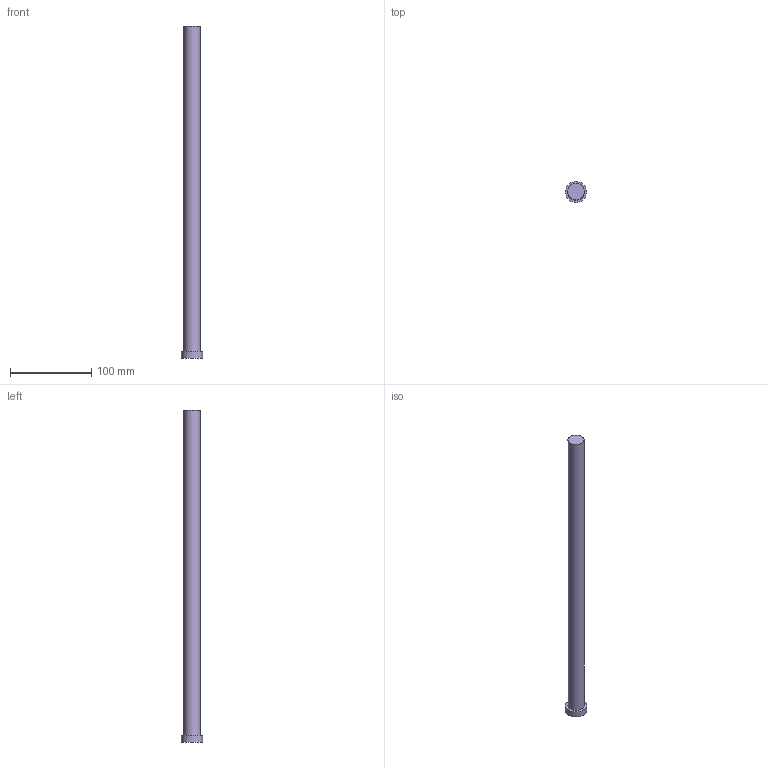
import cadquery as cq

HEAD_DIAMETER = 26.0
HEAD_HEIGHT = 8.0
SHANK_DIAMETER = 20.0
SHANK_LENGTH = 400.0


def make_head():
    """Round head with its underside on the XY plane."""
    return cq.Workplane("XY").circle(HEAD_DIAMETER / 2).extrude(HEAD_HEIGHT)


def add_shank(head):
    """Cylindrical shank rising from the top face of the head."""
    return head.faces(">Z").workplane().circle(SHANK_DIAMETER / 2).extrude(SHANK_LENGTH)


result = add_shank(make_head())